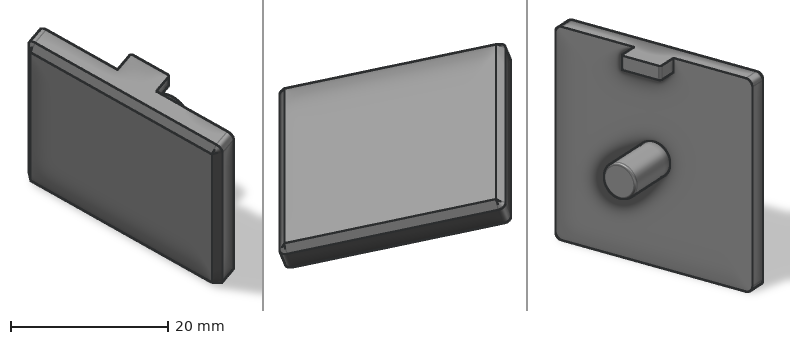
import cadquery as cq

plate_side = 30.0
plate_thickness = 3.5
edge_size = 1.0
flat_side = plate_side - 2 * edge_size

post_diameter = 5.0
post_length = 7.98

tab_width = 6.0
tab_height = 2.0
tab_length = 3.0

tip_fillet = 0.3

overall_depth = plate_thickness + post_length
front_y = -overall_depth / 2
back_y = front_y + plate_thickness


def make_plate_bar():
    """Full-height bar of the plate between its corners, bevelled on the front at both ends."""
    bar = cq.Workplane("XY").box(
        flat_side, plate_thickness, plate_side, centered=(True, False, True)
    )
    return bar.faces("<Y").edges("|X").chamfer(edge_size)


def make_corner():
    """Round corner of the plate, ending at the front in a cone that meets the bevels."""
    profile = (
        cq.Workplane("XY")
        .lineTo(edge_size, edge_size)
        .lineTo(edge_size, plate_thickness)
        .lineTo(0, plate_thickness)
        .close()
    )
    return profile.revolve(360, (0, 0, 0), (0, 1, 0))


def make_plate():
    """Two crossed bars and four round corners, with the front face at front_y."""
    bar = make_plate_bar()
    plate = bar.union(bar.rotate((0, 0, 0), (0, 1, 0), 90))
    for x_sign in (-1, 1):
        for z_sign in (-1, 1):
            corner_place = (x_sign * flat_side / 2, 0, z_sign * flat_side / 2)
            plate = plate.union(make_corner().translate(corner_place))
    return plate.translate((0, front_y, 0))


def make_post():
    """Cylindrical post with a rounded tip."""
    post = (
        cq.Workplane("XZ", origin=(0, back_y, 0))
        .circle(post_diameter / 2)
        .extrude(-post_length)
    )
    return post.faces(">Y").fillet(tip_fillet)


def make_tab():
    """Rectangular tab whose tip has rounded side edges."""
    tab = cq.Workplane("XY").box(tab_width, tab_length, tab_height, centered=(True, False, False))
    tab = tab.faces(">Y").edges("|Z").fillet(tip_fillet)
    return tab.translate((0, back_y, plate_side / 2 - tab_height))


result = make_plate().union(make_post()).union(make_tab())